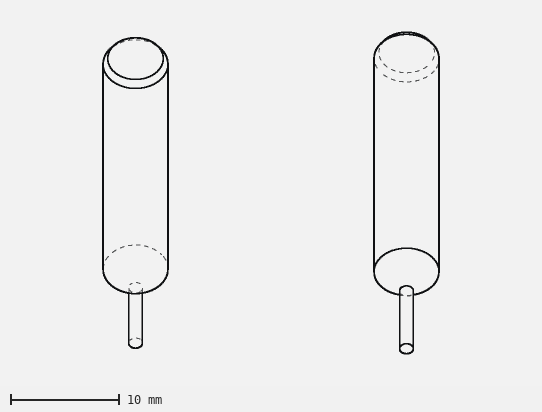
import cadquery as cq
import math

TOTAL_LENGTH = 40.0
SHANK_RADIUS = 3.0
PIN_RADIUS = 0.65

POINT_HEIGHT = 0.25
PIN_TOP = 8.0
TAPER_TOP = 10.55

CHAMFER_HEIGHT = 0.75
CHAMFER_ANGLE = 30.0
CHAMFER_WIDTH = CHAMFER_HEIGHT * math.tan(math.radians(CHAMFER_ANGLE))


def revolve_profile(points):
    """Revolve a closed (radius, height) outline about the Z axis."""
    return cq.Workplane("XZ").polyline(points).close().revolve(360, (0, 0, 0), (0, 1, 0))


def make_shank():
    """Cylindrical shank, chamfered on top and tapering down to the pin."""
    return revolve_profile([
        (0, PIN_TOP),
        (PIN_RADIUS, PIN_TOP),
        (SHANK_RADIUS, TAPER_TOP),
        (SHANK_RADIUS, TOTAL_LENGTH - CHAMFER_HEIGHT),
        (SHANK_RADIUS - CHAMFER_WIDTH, TOTAL_LENGTH),
        (0, TOTAL_LENGTH),
    ])


def make_pin():
    """Slender pin with a shallow conical point, butted against the shank."""
    return revolve_profile([
        (0, 0),
        (PIN_RADIUS, POINT_HEIGHT),
        (PIN_RADIUS, PIN_TOP),
        (0, PIN_TOP),
    ])


shank = make_shank()
pin = make_pin()

result = cq.Compound.makeCompound([shank.val(), pin.val()])